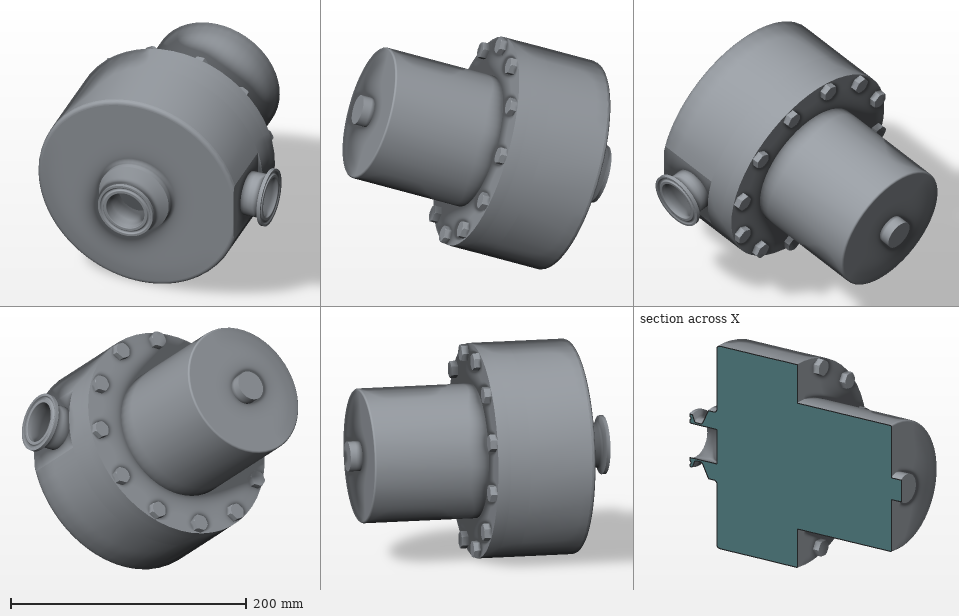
import cadquery as cq
import math


body_radius = 91.7
chamber_length = 57.4
chamber_edge_fillet = 3.5
ring_length = 17.3
cover_length = 11.0
flat_x = 87.5
cover_start = chamber_length + ring_length
cover_back = cover_start + cover_length
bolt_phase = 15.0

motor_radius = 57.4
motor_end = 185.1
motor_edge_fillet = 1.5
shaft_radius = 12.8

bolt_count = 12
bolt_circle_radius = 83.8
bolt_across_flats = 13.0
bolt_head_height = 5.8
bolt_corner_bevel = 0.7

rim_radius = 25.0
rim_thickness = 3.1
neck_radius = 19.0
rim_cone_length = 2.7
neck_blend = 1.3
bore_radius = 17.3
gasket_circle_radius = 21.5
gasket_groove_radius = 1.3
rim_face_rounding = 0.55

inlet_length = 28.7
collar_radius = 31.8
collar_foot_fillet = 3.0
collar_length = 8.7
inlet_cone_end = 15.7

outlet_end_x = 107.5
outlet_y = 35.5

overall_length = 224.1
shaft_end = overall_length - inlet_length


def cylinder_y(radius, start, end):
    """Cylinder on the main axis from Y = start to Y = end."""
    return cq.Workplane("XZ", origin=(0, start, 0)).circle(radius).extrude(start - end)


def step_toward(point, target, distance):
    """Point on the line from point to target at the given distance from point."""
    ratio = distance / math.dist(point, target)
    return tuple(p + ratio * (t - p) for p, t in zip(point, target))


def rounded_corner(sketch, before, corner, after, length):
    """Draw up to a corner and round it, leaving each leg at the given length from the corner."""
    start = step_toward(corner, before, length)
    end = step_toward(corner, after, length)
    half_chord = math.dist(start, end) / 2
    middle = ((start[0] + end[0]) / 2, (start[1] + end[1]) / 2)
    height = math.dist(corner, middle)
    radius = length * half_chord / height
    sagitta = radius - math.sqrt(radius**2 - half_chord**2)
    return sketch.lineTo(*start).threePointArc(step_toward(middle, corner, sagitta), end)


def ferrule_start():
    """Half profile of a ferrule (radius, distance from its face), drawn to the start of its neck."""
    rim_back = (rim_radius, rim_thickness)
    neck_top = (neck_radius, rim_thickness + rim_cone_length)
    neck_below = (neck_radius, neck_top[1] + neck_blend)
    sketch = cq.Workplane("XZ").lineTo(rim_radius, 0).lineTo(*rim_back)
    return rounded_corner(sketch, rim_back, neck_top, neck_below, neck_blend)


def finish_nozzle(half_profile, bore_depth):
    """Revolve a nozzle about Z, bore it, then groove its face and round the inner edges there."""
    nozzle = half_profile.close().revolve(360, (0, 0, 0), (0, 1, 0))
    bore = cq.Workplane("XY").circle(bore_radius).extrude(bore_depth)
    groove = cq.Workplane("XY").add(cq.Solid.makeTorus(gasket_circle_radius, gasket_groove_radius))
    nozzle = nozzle.cut(bore).cut(groove)
    face_edges = nozzle.faces("<Z").edges()
    inner_edges = face_edges.filter(lambda edge: edge.radius() < rim_radius - rim_face_rounding)
    return inner_edges.fillet(rim_face_rounding)


def place(nozzle, origin, direction):
    """Move a nozzle so that its face sits at origin and its body runs along direction."""
    plane = cq.Plane(origin=origin, xDir=(0, 0, 1), normal=direction)
    return cq.Workplane("XY").add(nozzle.val().moved(plane.location))


def make_inlet():
    neck_end = (neck_radius, inlet_length - inlet_cone_end)
    collar_edge = (collar_radius, inlet_length - collar_length)
    neck_above = (neck_radius, 0)
    foot_mid = collar_foot_fillet * (1 - math.sqrt(0.5))
    sketch = rounded_corner(ferrule_start(), neck_above, neck_end, collar_edge, neck_blend)
    sketch = (
        sketch.lineTo(*collar_edge)
        .lineTo(collar_radius, inlet_length - collar_foot_fillet)
        .threePointArc(
            (collar_radius + foot_mid, inlet_length - foot_mid),
            (collar_radius + collar_foot_fillet, inlet_length),
        )
        .lineTo(0, inlet_length)
    )
    return place(finish_nozzle(sketch, inlet_length), (0, -inlet_length, 0), (0, 1, 0))


def make_outlet():
    length = outlet_end_x - flat_x
    sketch = ferrule_start().lineTo(neck_radius, length).lineTo(0, length)
    return place(finish_nozzle(sketch, length), (outlet_end_x, outlet_y, 0), (-1, 0, 0))


def make_body():
    """Chamber with a flat on its +X side, followed by the full round ring."""
    chamber = cylinder_y(body_radius, 0, chamber_length).faces("<Y").edges().fillet(chamber_edge_fillet)
    beyond_flat = cq.Workplane("XY").box(
        body_radius, chamber_length, 2 * body_radius, centered=(False, False, True)
    ).translate((flat_x, 0, 0))
    ring = cylinder_y(body_radius, chamber_length, cover_start)
    return chamber.cut(beyond_flat).union(ring, clean=False)


def turned(shape):
    """Turn a piece about the main axis by the bolt phase, as the cover and motor are mounted."""
    return shape.rotate((0, 0, 0), (0, 1, 0), bolt_phase)


def make_motor():
    motor = cylinder_y(motor_radius, cover_back, motor_end).faces(">Y").edges().fillet(motor_edge_fillet)
    return motor.union(cylinder_y(shaft_radius, motor_end, shaft_end))


def make_bolt_heads():
    """Hexagon heads on the cover, each a turned copy of the first."""
    corner_radius = bolt_across_flats / math.sqrt(3)
    x = bolt_circle_radius * math.cos(math.radians(bolt_phase))
    z = bolt_circle_radius * math.sin(math.radians(bolt_phase))
    seat = cq.Workplane("XZ", origin=(x, cover_back, z))
    envelope = seat.circle(corner_radius).extrude(-bolt_head_height).faces(">Y").chamfer(bolt_corner_bevel)
    head = seat.polygon(6, 2 * corner_radius).extrude(-bolt_head_height).intersect(envelope)
    pitch = 360 / bolt_count
    return [head.rotate((0, 0, 0), (0, 1, 0), index * pitch) for index in range(bolt_count)]


def make_cover():
    return cylinder_y(body_radius, cover_start, cover_back)


result = make_body()
for piece in [turned(make_cover()), turned(make_motor()), *make_bolt_heads(), make_inlet(), make_outlet()]:
    result = result.union(piece, clean=False)